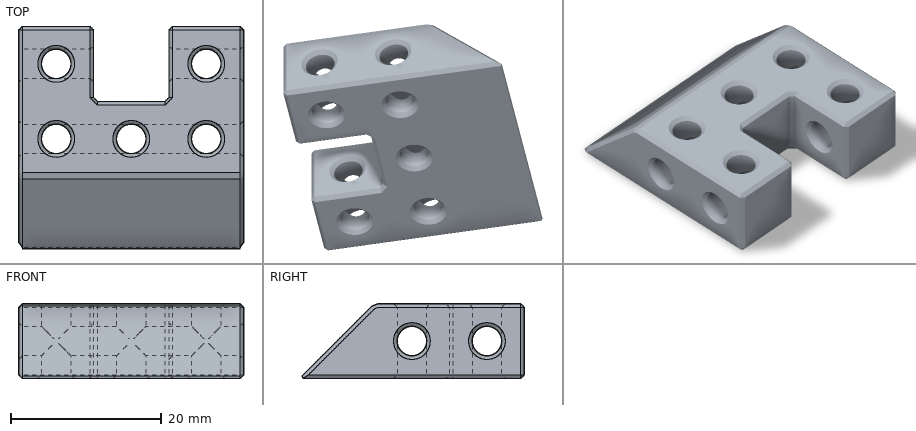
import cadquery as cq

pitch = 10.0
hole_diameter = 3.9
chamfer = 0.5

length_x = 3 * pitch
length_y = 3 * pitch
height = pitch
slope_run = height
back_y = length_y / 2
front_y = -length_y / 2

slot_width = pitch
slot_depth = pitch

back_row_y = back_y - pitch / 2
middle_row_y = back_row_y - pitch
mid_z = height / 2


def wedge_block():
    """Block whose front face slopes down to a sharp edge at the bottom."""
    return (
        cq.Workplane("YZ", origin=(-length_x / 2, 0, 0))
        .moveTo(front_y, 0)
        .lineTo(back_y, 0)
        .lineTo(back_y, height)
        .lineTo(front_y + slope_run, height)
        .close()
        .extrude(length_x)
    )


def back_slot():
    """Rectangular slot open to the back, top and bottom."""
    return (
        cq.Workplane("XY", origin=(0, back_y - slot_depth / 2, 0))
        .rect(slot_width, slot_depth)
        .extrude(height)
    )


def double_countersunk_hole(start, direction, depth):
    """Cutter for a through hole with a 45 degree countersink at both ends."""
    radius = hole_diameter / 2
    mouth_radius = radius + chamfer
    axis = cq.Vector(*direction)
    start_point = cq.Vector(*start)
    end_point = start_point + axis * depth
    bore = cq.Solid.makeCylinder(radius, depth, start_point, axis)
    start_cone = cq.Solid.makeCone(mouth_radius, radius, chamfer, start_point, axis)
    end_cone = cq.Solid.makeCone(mouth_radius, radius, chamfer, end_point, axis * -1)
    return cq.Workplane(bore).union(cq.Workplane(start_cone)).union(cq.Workplane(end_cone))


result = wedge_block().cut(back_slot()).edges().chamfer(chamfer)

vertical_hole_places = [
    (-pitch, back_row_y),
    (pitch, back_row_y),
    (-pitch, middle_row_y),
    (0, middle_row_y),
    (pitch, middle_row_y),
]
for x, y in vertical_hole_places:
    result = result.cut(double_countersunk_hole((x, y, 0), (0, 0, 1), height))

arm_width = (length_x - slot_width) / 2
cross_holes = [
    (-length_x / 2, back_row_y, arm_width),
    (slot_width / 2, back_row_y, arm_width),
    (-length_x / 2, middle_row_y, length_x),
]
for x, y, depth in cross_holes:
    result = result.cut(double_countersunk_hole((x, y, mid_z), (1, 0, 0), depth))